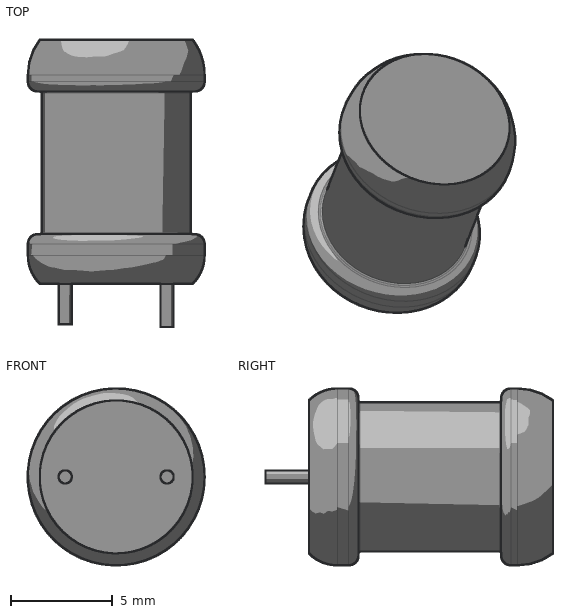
import cadquery as cq
import math


body_length = 12.0
flange_radius = 4.35
end_face_radius = 3.76
winding_radius = 3.67

front_flange_width = 2.45
front_crown_width = 1.4
back_flange_width = 2.56
back_crown_width = 1.75

flange_edge_fillet = 0.5
neck_fillet = 0.07

pin_radius = 0.32
pin_offset = 2.5
left_pin_length = 1.99
right_pin_length = 2.13
pin_embed = 0.14


def crown_middle(crown_width):
    """Radius and depth of the middle of a crown arc.

    The arc runs tangentially out of the flange side and ends on the end face.
    The depth is measured from the flange side towards the end face.
    """
    drop = flange_radius - end_face_radius
    arc_radius = (crown_width**2 + drop**2) / (2 * drop)
    half_angle = math.asin(crown_width / arc_radius) / 2
    radius = flange_radius - arc_radius * (1 - math.cos(half_angle))
    depth = arc_radius * math.sin(half_angle)
    return radius, depth


def make_drum():
    """Revolve the half profile of the flanges and the winding body about Y."""
    front_crown_y = front_crown_width
    back_crown_y = body_length - back_crown_width
    front_inner_y = front_flange_width
    back_inner_y = body_length - back_flange_width

    front_middle_radius, front_depth = crown_middle(front_crown_width)
    back_middle_radius, back_depth = crown_middle(back_crown_width)

    round_inset = 1 - math.sqrt(0.5)
    edge_inset = flange_edge_fillet * round_inset
    neck_inset = neck_fillet * round_inset

    edge_radius = flange_radius - flange_edge_fillet
    neck_radius = winding_radius + neck_fillet
    edge_middle_radius = flange_radius - edge_inset
    neck_middle_radius = winding_radius + neck_inset

    profile = (
        cq.Workplane("XY")
        .lineTo(end_face_radius, 0)
        .threePointArc((front_middle_radius, front_crown_y - front_depth), (flange_radius, front_crown_y))
        .lineTo(flange_radius, front_inner_y - flange_edge_fillet)
        .threePointArc((edge_middle_radius, front_inner_y - edge_inset), (edge_radius, front_inner_y))
        .lineTo(neck_radius, front_inner_y)
        .threePointArc(
            (neck_middle_radius, front_inner_y + neck_inset),
            (winding_radius, front_inner_y + neck_fillet),
        )
        .lineTo(winding_radius, back_inner_y - neck_fillet)
        .threePointArc((neck_middle_radius, back_inner_y - neck_inset), (neck_radius, back_inner_y))
        .lineTo(edge_radius, back_inner_y)
        .threePointArc(
            (edge_middle_radius, back_inner_y + edge_inset),
            (flange_radius, back_inner_y + flange_edge_fillet),
        )
        .lineTo(flange_radius, back_crown_y)
        .threePointArc((back_middle_radius, back_crown_y + back_depth), (end_face_radius, body_length))
        .lineTo(0, body_length)
        .close()
    )
    return profile.revolve(360, (0, 0, 0), (0, 1, 0))


def make_pin(x, length):
    """Round lead pin that starts just inside the drum and points to -Y."""
    return (
        cq.Workplane("XZ", origin=(x, pin_embed, 0))
        .circle(pin_radius)
        .extrude(length + pin_embed)
    )


result = make_drum()
for pin_x, pin_length in ((-pin_offset, left_pin_length), (pin_offset, right_pin_length)):
    result = result.union(make_pin(pin_x, pin_length))